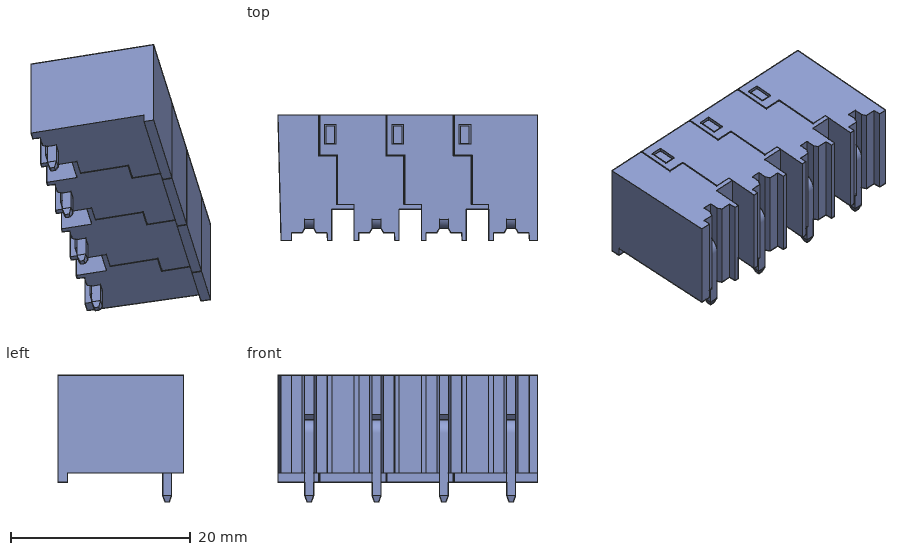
import cadquery as cq


unit_count = 4
pitch = 7.49
row_length = 28.9
depth = 14.0
first_pin_x = 3.5
left_side_taper = 0.35

body_height = 10.9
lip_drop = 1.0
lip_depth = 1.1

joint_gap = 0.1
joint_rear_x = 1.1
joint_middle_x = 3.1
joint_step_y = 9.45
web_front_y = 3.47
web_rear_y = 4.02

leg_outer_x = 2.5
leg_inner_x = 1.97
right_leg_draft = 0.05
recess_depth = 0.85
flare_half_width = 0.78

pin_size = 1.0
pin_front_y = 1.33
pin_rear_y = pin_front_y + pin_size
pin_top_z = -4.9
bend_radius = 1.5
pin_end_y = 4.62
pin_bottom_z = -14.1
tip_height = 0.72
tip_size = 0.5

lead_in = 0.55

window_offset_x = 0.55
window_width = 1.3
window_front_y = 10.72
window_rear_y = 12.9
window_depth = 0.5
post_side_gap = 0.17
post_front_gap = 0.05
post_drop = 0.15


def pin_x(index):
    return first_pin_x + index * pitch


def box(x_range, y_range, z_range):
    """Box between two limits along each axis."""
    (x0, x1), (y0, y1), (z0, z1) = x_range, y_range, z_range
    return cq.Workplane("XY").box(x1 - x0, y1 - y0, z1 - z0, centered=False).translate((x0, y0, z0))


def side_profile(points, center_x, width):
    """Extrude a (Y, Z) outline by a width centred on an X position."""
    return (
        cq.Workplane("YZ", origin=(center_x, 0, 0)).polyline(points).close().extrude(width / 2, both=True)
    )


def right_boundary(index):
    """Plan points of the right side, from the front leg to the rear face."""
    axis = pin_x(index)
    if index == unit_count - 1:
        return [(row_length, 0), (row_length, depth)]
    middle = axis + joint_middle_x - joint_gap / 2
    rear = axis + joint_rear_x - joint_gap / 2
    step = joint_step_y - joint_gap / 2
    next_leg = axis + pitch - leg_outer_x
    return [
        (axis + leg_outer_x, 0),
        (axis + leg_outer_x, web_front_y),
        (next_leg, web_front_y),
        (next_leg, web_rear_y),
        (middle, web_rear_y),
        (middle, step),
        (rear, step),
        (rear, depth),
    ]


def joint_rear_face(index):
    """X of the left side's rear face on a housing that has a left neighbour."""
    return pin_x(index - 1) + joint_rear_x + joint_gap / 2


def left_boundary(index):
    """Plan points of the left side, from the rear face to the front leg."""
    if index == 0:
        return [(0, depth), (left_side_taper, 0)]
    middle = pin_x(index - 1) + joint_middle_x + joint_gap / 2
    rear = joint_rear_face(index)
    step = joint_step_y + joint_gap / 2
    leg = pin_x(index) - leg_outer_x
    return [
        (rear, depth),
        (rear, step),
        (middle, step),
        (middle, web_rear_y),
        (leg, web_rear_y),
        (leg, 0),
    ]


def channel_boundary(index):
    """Plan points of the pin channel, from the left leg to the right leg."""
    offsets = [
        (-leg_inner_x, 0),
        (-leg_inner_x, recess_depth),
        (-flare_half_width, recess_depth),
        (-pin_size / 2, pin_front_y),
        (-pin_size / 2, pin_rear_y),
        (pin_size / 2, pin_rear_y),
        (pin_size / 2, pin_front_y),
        (flare_half_width, recess_depth),
        (leg_inner_x, recess_depth),
        (leg_inner_x + right_leg_draft, 0),
    ]
    return [(pin_x(index) + x, y) for x, y in offsets]


def make_key_window(index):
    """Ring-shaped void left around the post, open at the top."""
    left = joint_rear_face(index) + window_offset_x
    right = left + window_width
    window = box((left, right), (window_front_y, window_rear_y), (-window_depth, 0))
    post = box(
        (left + post_side_gap, right - post_side_gap),
        (window_front_y + post_front_gap, window_rear_y - post_side_gap),
        (-window_depth, -post_drop),
    )
    return window.cut(post)


def make_lead_in(index):
    """Wedge with a 45 degree ceiling over the pin, at the rear of the channel."""
    points = [
        (pin_rear_y, pin_top_z + lead_in),
        (pin_rear_y + lead_in, pin_top_z),
        (pin_rear_y, pin_top_z),
    ]
    return side_profile(points, pin_x(index), pin_size)


def make_bent_bar(index):
    """Square bar that rises from the board and bends rearward into the housing."""
    inner_radius = bend_radius - pin_size
    bend_z = pin_top_z - bend_radius
    bend_y = pin_front_y + bend_radius
    shank_bottom_z = pin_bottom_z + tip_height
    diagonal = 0.5**0.5
    return (
        cq.Workplane("YZ", origin=(pin_x(index), 0, 0))
        .moveTo(pin_front_y, shank_bottom_z)
        .lineTo(pin_front_y, bend_z)
        .threePointArc(
            (bend_y - bend_radius * diagonal, bend_z + bend_radius * diagonal),
            (bend_y, pin_top_z),
        )
        .lineTo(pin_end_y, pin_top_z)
        .lineTo(pin_end_y, pin_top_z - pin_size)
        .lineTo(bend_y, pin_top_z - pin_size)
        .threePointArc(
            (bend_y - inner_radius * diagonal, bend_z + inner_radius * diagonal),
            (pin_rear_y, bend_z),
        )
        .lineTo(pin_rear_y, shank_bottom_z)
        .close()
        .extrude(pin_size / 2, both=True)
    )


def make_pin(index):
    """Bent bar with a blunt pyramid tip."""
    tip_origin = (pin_x(index), pin_front_y + pin_size / 2, pin_bottom_z)
    tip = (
        cq.Workplane("XY", origin=tip_origin)
        .rect(tip_size, tip_size)
        .workplane(offset=tip_height)
        .rect(pin_size, pin_size)
        .loft()
    )
    return make_bent_bar(index).union(tip)


def make_housing(index):
    """Housing with its rear lip, pin channel, pin passage and key window."""
    outline = right_boundary(index) + left_boundary(index) + channel_boundary(index)
    full_height = body_height + lip_drop
    housing = cq.Workplane("XY").polyline(outline).close().extrude(-full_height)
    underside = box((0, row_length), (0, depth - lip_depth), (-full_height, -body_height))
    housing = housing.cut(underside).cut(make_lead_in(index)).cut(make_bent_bar(index))
    if index > 0:
        housing = housing.cut(make_key_window(index))
    return housing


housings = [make_housing(index).solids().val() for index in range(unit_count)]
pins = [make_pin(index).solids().val() for index in range(unit_count)]

result = cq.Compound.makeCompound([*housings, *pins])